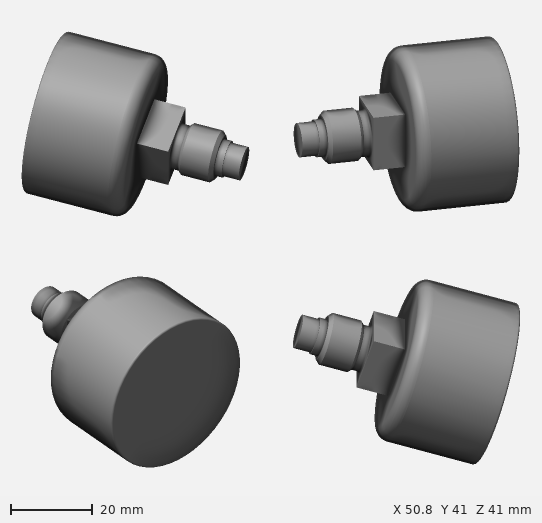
import cadquery as cq

total_length = 50.8

case_diameter = 41.0
case_length = 25.5
back_edge_radius = 0.5
front_edge_radius = 3.1

square_side = 14.0
square_length = 8.05

groove_diameter = 11.45
groove_fillet_radius = 0.45
groove_length = 1.6

thread_diameter = 13.15
thread_length = 9.05
thread_back_taper = (thread_diameter - groove_diameter) / 2
thread_front_taper = 0.95
thread_front_diameter = thread_diameter - 2 * thread_front_taper

collar_diameter = 9.3
collar_length = 1.95
tip_diameter = 8.5

square_end = case_length + square_length
fillet_end = square_end + groove_fillet_radius
thread_start = fillet_end + groove_length
thread_end = thread_start + thread_length
collar_end = thread_end + collar_length


def make_case():
    case = cq.Workplane("YZ").circle(case_diameter / 2).extrude(case_length)
    case = case.faces("<X").edges().fillet(back_edge_radius)
    return case.faces(">X").edges().fillet(front_edge_radius)


def make_square():
    section = cq.Workplane("YZ").workplane(offset=case_length).rect(square_side, square_side)
    return section.extrude(square_length)


def make_connector():
    """Revolve the groove, thread, collar and tip as one half profile."""
    profile = (
        cq.Workplane("XY")
        .moveTo(square_end, 0)
        .lineTo(square_end, groove_diameter / 2 + groove_fillet_radius)
        .radiusArc((fillet_end, groove_diameter / 2), -groove_fillet_radius)
        .lineTo(thread_start, groove_diameter / 2)
        .lineTo(thread_start + thread_back_taper, thread_diameter / 2)
        .lineTo(thread_end - thread_front_taper, thread_diameter / 2)
        .lineTo(thread_end, thread_front_diameter / 2)
        .lineTo(thread_end, collar_diameter / 2)
        .lineTo(collar_end, collar_diameter / 2)
        .lineTo(collar_end, tip_diameter / 2)
        .lineTo(total_length, tip_diameter / 2)
        .lineTo(total_length, 0)
        .close()
    )
    return profile.revolve(360, (0, 0, 0), (1, 0, 0))


result = make_case().union(make_square()).union(make_connector())